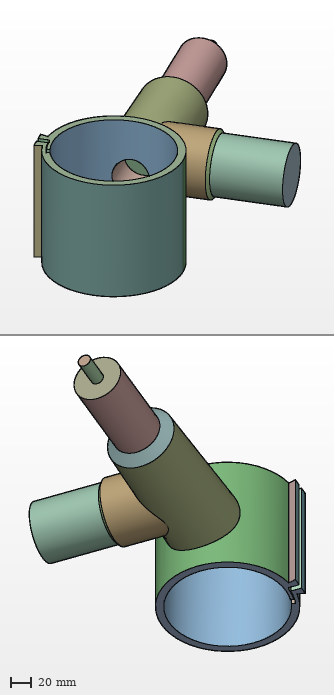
import cadquery as cq
import math

ring_radius = 71.0
bore_radius = 62.5
ring_height = 125.0

tab_reach = 78.5
tab_tip_half_width = 12.0
tab_root_half_width = 10.0
slot_half_width = 3.0
lip_radius = 66.0
recess_radius = 67.0
lip_fillet = 2.0
lip_end_angle = 14.3
recess_end_angle = 20.0

arm_base_y = 59.8
arm_base_radius = 40.0
shoulder_start_y = 207.0
shoulder_radius = 36.0
shoulder_end_y = 217.0
spindle_radius = 25.0
spindle_end_y = 310.5
pin_radius = 6.5
pin_end_y = 341.5

arm_hole_radius = 19.5
arm_hole_end_y = 103.0

branch_y = 110.0
collar_radius = 35.5
collar_end_x = 71.7
pipe_radius = 31.8
pipe_start_x = 75.0
pipe_end_x = 149.5


def upright_cylinder(radius):
    """Cylinder on the ring axis, as tall as the ring."""
    return cq.Workplane("XY").circle(radius).extrude(ring_height / 2, both=True)


def upright_prism(points):
    """Prism as tall as the ring, from an outline in the XY plane."""
    return cq.Workplane("XY").polyline(points).close().extrude(ring_height / 2, both=True)


def split_sector(inner_radius, outer_radius, end_angle):
    """Piece of a tube from the upper slot face round to an angle below the -X axis."""
    angle = math.radians(end_angle)
    wedge_x = -ring_radius
    wedge = upright_prism([
        (0, 0),
        (0, slot_half_width),
        (wedge_x, slot_half_width),
        (wedge_x, wedge_x * math.tan(angle)),
    ])
    tube = upright_cylinder(outer_radius).cut(upright_cylinder(inner_radius))
    return tube.intersect(wedge)


def clamp_tab(side):
    """Flared tab on one side of the slot; side is +1 or -1."""
    root_x = -(lip_radius + ring_radius) / 2
    neck_x = -ring_radius
    return upright_prism([
        (root_x, 0),
        (-tab_reach, 0),
        (-tab_reach, side * tab_tip_half_width),
        (neck_x, side * tab_root_half_width),
        (root_x, side * tab_root_half_width),
    ])


def tapered_arm():
    """Arm, shoulder, spindle and pin turned about the Y axis."""
    profile = [
        (0, 0),
        (arm_base_radius, 0),
        (arm_base_radius, arm_base_y),
        (shoulder_radius, shoulder_start_y),
        (spindle_radius, shoulder_end_y),
        (spindle_radius, spindle_end_y),
        (pin_radius, spindle_end_y),
        (pin_radius, pin_end_y),
        (0, pin_end_y),
    ]
    return cq.Workplane("XY").polyline(profile).close().revolve(360, (0, 0), (0, 1))


def side_branch():
    """Collar and pipe turned about a line parallel to the X axis."""
    profile = [
        (0, branch_y),
        (0, branch_y + collar_radius),
        (collar_end_x, branch_y + collar_radius),
        (pipe_start_x, branch_y + pipe_radius),
        (pipe_end_x, branch_y + pipe_radius),
        (pipe_end_x, branch_y),
    ]
    return cq.Workplane("XY").polyline(profile).close().revolve(360, (0, branch_y), (1, branch_y))


body = upright_cylinder(ring_radius).union(tapered_arm()).union(side_branch())
for side in (1, -1):
    body = body.union(clamp_tab(side))
body = body.cut(upright_cylinder(bore_radius))

slot = upright_prism([
    (-bore_radius / 2, -slot_half_width),
    (-tab_reach, -slot_half_width),
    (-tab_reach, slot_half_width),
    (-bore_radius / 2, slot_half_width),
])
body = body.cut(slot)
body = body.cut(split_sector(bore_radius / 2, recess_radius, recess_end_angle))
body = body.union(split_sector(bore_radius, lip_radius, lip_end_angle))

corner_x = -math.sqrt(lip_radius**2 - slot_half_width**2)
lip_corner = cq.selectors.NearestToPointSelector((corner_x, slot_half_width, 0))
body = body.edges("|Z").edges(lip_corner).fillet(lip_fillet)

arm_hole = cq.Workplane("XZ").circle(arm_hole_radius).extrude(-arm_hole_end_y)
result = body.cut(arm_hole)